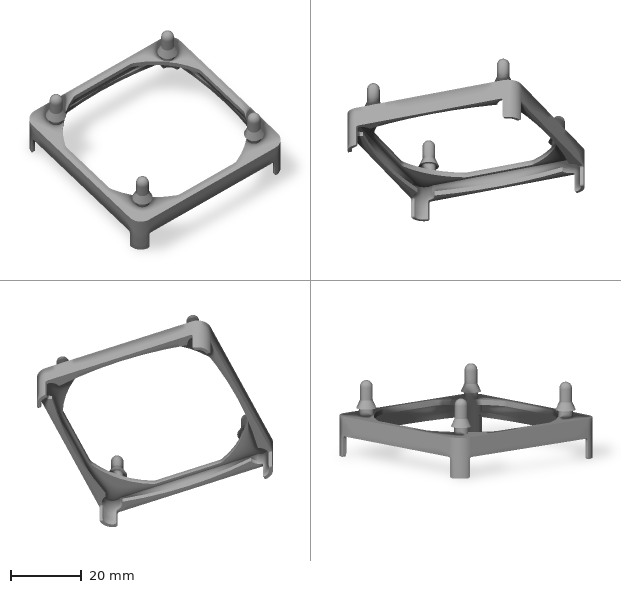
import cadquery as cq

side = 53.0
corner_radius = 4.0
frame_height = 5.7
plate_thickness = 1.5
cavity_top = frame_height - plate_thickness

opening_radius = 26.15
opening_width = 48.1
opening_blend_radius = 3.0

leg_length = 6.0
leg_width = corner_radius
leg_blend_radius = 0.55
leg_span = side - 2 * leg_width

wall_thickness = 1.4
cavity_width = side - 2 * wall_thickness
cavity_corner_radius = corner_radius - wall_thickness
relief_radius = 2.95

lip_height = 1.4
lip_end_thickness = 2.35

pin_spacing = 39.95
pin_height = 10.0
neck_radius = 2.0
neck_height = 2.0
barb_radius = 2.85
barb_height = 2.4
shaft_radius = 1.8


def rounded_block(width, radius, bottom, top):
    """Square block with rounded vertical edges, centred on the Z axis."""
    block = cq.Workplane("XY", origin=(0, 0, bottom)).rect(width, width).extrude(top - bottom)
    return block.edges("|Z").fillet(radius)


def make_opening():
    disc = cq.Workplane("XY").circle(opening_radius).extrude(frame_height)
    square = cq.Workplane("XY").rect(opening_width, opening_width).extrude(frame_height)
    return disc.intersect(square).edges("|Z").fillet(opening_blend_radius)


def make_lip():
    """Lip along the +Y wall whose bowed inner face touches the wall at the middle."""
    half_length = leg_span / 2
    root = (side - wall_thickness) / 2
    middle = cavity_width / 2
    end = middle - lip_end_thickness
    return (
        cq.Workplane("XY")
        .moveTo(-half_length, root)
        .lineTo(-half_length, end)
        .threePointArc((0, middle), (half_length, end))
        .lineTo(half_length, root)
        .close()
        .extrude(lip_height)
    )


def make_reliefs():
    """Four upright cylinders that hollow the legs and trim the lip ends."""
    return (
        cq.Workplane("XY", origin=(0, 0, -leg_length))
        .rect(leg_span, leg_span, forConstruction=True)
        .vertices()
        .circle(relief_radius)
        .extrude(leg_length + cavity_top)
    )


def make_leg_gap():
    """Tunnel along Y between the legs, blended into the frame and flared at the leg tips."""
    half_gap = leg_span / 2
    half_flare = half_gap + leg_blend_radius
    half_roof = half_gap - leg_blend_radius
    flare_start = leg_blend_radius - leg_length
    return (
        cq.Workplane("XZ")
        .moveTo(-half_flare, -leg_length)
        .radiusArc((-half_gap, flare_start), -leg_blend_radius)
        .lineTo(-half_gap, -leg_blend_radius)
        .radiusArc((-half_roof, 0), leg_blend_radius)
        .lineTo(half_roof, 0)
        .radiusArc((half_gap, -leg_blend_radius), leg_blend_radius)
        .lineTo(half_gap, flare_start)
        .radiusArc((half_flare, -leg_length), -leg_blend_radius)
        .close()
        .extrude(side / 2, both=True)
    )


def make_pin():
    """Round pin with a neck, a conical barb and a domed shaft, standing on Z = 0."""
    barb_top = neck_height + barb_height
    dome_start = pin_height - shaft_radius
    return (
        cq.Workplane("XZ")
        .lineTo(neck_radius, 0)
        .lineTo(neck_radius, neck_height)
        .lineTo(barb_radius, neck_height)
        .lineTo(shaft_radius, barb_top)
        .lineTo(shaft_radius, dome_start)
        .radiusArc((0, pin_height), -shaft_radius)
        .close()
        .revolve(360, (0, 0, 0), (0, 1, 0))
    )


def turn(shape, angle):
    return shape.rotate((0, 0, 0), (0, 0, 1), angle)


result = rounded_block(side, corner_radius, -leg_length, frame_height)
result = result.cut(rounded_block(cavity_width, cavity_corner_radius, -leg_length, cavity_top))
result = result.cut(make_opening())

lip = make_lip()
for angle in (0, 90, 180, 270):
    result = result.union(turn(lip, angle))
result = result.cut(make_reliefs())

leg_gap = make_leg_gap()
for angle in (0, 90):
    result = result.cut(turn(leg_gap, angle))

pin = make_pin()
half_spacing = pin_spacing / 2
for x in (-half_spacing, half_spacing):
    for y in (-half_spacing, half_spacing):
        result = result.union(pin.translate((x, y, frame_height)))